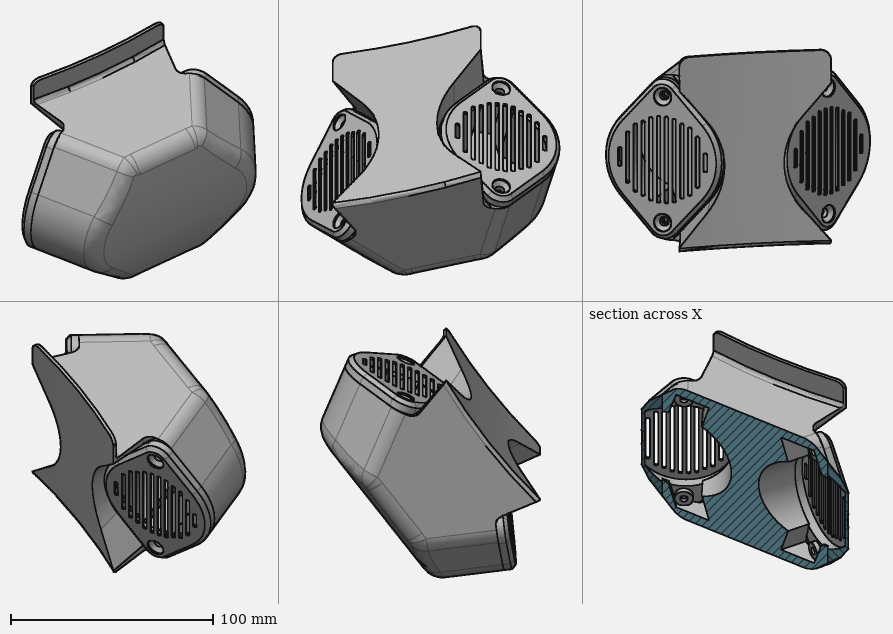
import cadquery as cq
import math

HALF_HEIGHT = 42.1
BACK_SAG = 2.4
BACK_HALF_WIDTH = 38.5
FRONT_X = 72.8
FRONT_RADIUS = 96.5
FRONT_FILLET = 9.9
BACK_EDGE_FILLET = 2.0
FAR = 160.9

FLANGE_TOP = 56.9
FLANGE_THICKNESS = 1.7
FLANGE_CORNER = 5.0
FLANGE_ROOT_FILLET = 2.0

LOBE_ANGLE = 30.0
FACE_X = 22.1
FACE_Y = 42.1
LOBE_RADIUS = 30.0
SCREW_OFFSET = 32.0
TIP_RADIUS = 8.6
LOBE_TIP_RADIUS = 9.9

GRILLE_THICKNESS = 6.0
GRILLE_CHAMFER = 2.1
GRILLE_WEB = 1.1
GRILLE_RECESS_DIAMETER = 52.0
SLOT_LENGTHS = (44.2, 42.6, 38.3, 34.9, 26.3, 9.7)
SLOT_PITCH = 4.0
SLOT_WIDTH = 2.0
SCREW_HOLE_DIAMETER = 4.5
SCREW_HEAD_DIAMETER = 9.0
SCREW_HEAD_RIM = 1.0

BORE_DIAMETER = 48.3
BORE_DEPTH = 39.5
POCKET_BASE_Z = 19.5
POCKET_TOP_Z = 36.2
POCKET_BASE_HALF_WIDTH = 8.5
POCKET_TOP_INNER = -12.7
POCKET_TOP_OUTER = 3.8
BOSS_DIAMETER = 9.1
BOSS_END = 8.7
PILOT_DIAMETER = 3.8

CLEARANCE_GAP = 0.5
CLEARANCE_SIDE = 7.0
CLEARANCE_TAPER = 16.0
CLEARANCE_REACH = 33.5
CLEARANCE_FILLET = 5.0

axis_angle = math.radians(LOBE_ANGLE)
INWARD = (math.cos(axis_angle), -math.sin(axis_angle), 0)
ACROSS = (math.sin(axis_angle), math.cos(axis_angle), 0)
flank_angle = math.asin((LOBE_RADIUS - TIP_RADIUS) / SCREW_OFFSET)
FLANK_COS = math.cos(flank_angle)
FLANK_SIN = math.sin(flank_angle)
LOBE_TIP_Z = HALF_HEIGHT - LOBE_TIP_RADIUS
LOBE_TIP_U = (LOBE_RADIUS - LOBE_TIP_RADIUS - LOBE_TIP_Z * FLANK_SIN) / FLANK_COS
BACK_RADIUS = (BACK_HALF_WIDTH**2 + BACK_SAG**2) / (2 * BACK_SAG)


def lobe_plane(depth):
    """Plane of the +Y lobe at a depth behind its grille face: local x outboard, local y up."""
    origin = (FACE_X + depth * INWARD[0], FACE_Y + depth * INWARD[1], 0)
    return cq.Workplane(cq.Plane(origin=origin, xDir=ACROSS, normal=INWARD))


def mirrored(body):
    """The matching body on the -Y side."""
    return body.mirror("XZ")


def lozenge(plane, inset=0.0):
    """Large circle drawn out to a round tip above and below."""
    big = LOBE_RADIUS - inset
    tip = TIP_RADIUS - inset
    big_x, big_z = big * FLANK_COS, big * FLANK_SIN
    tip_x, tip_z = tip * FLANK_COS, SCREW_OFFSET + tip * FLANK_SIN
    return (
        plane.moveTo(big_x, -big_z)
        .threePointArc((big, 0), (big_x, big_z))
        .lineTo(tip_x, tip_z)
        .threePointArc((0, SCREW_OFFSET + tip), (-tip_x, tip_z))
        .lineTo(-big_x, big_z)
        .threePointArc((-big, 0), (-big_x, -big_z))
        .lineTo(-tip_x, -tip_z)
        .threePointArc((0, -SCREW_OFFSET - tip), (tip_x, -tip_z))
        .close()
    )


def lobe_half():
    """Half of the housing on the +Y side, drawn along the lobe axis up to Y = 0."""
    big_x, big_z = LOBE_RADIUS * FLANK_COS, LOBE_RADIUS * FLANK_SIN
    tip_x = LOBE_TIP_U + LOBE_TIP_RADIUS * FLANK_COS
    tip_z = LOBE_TIP_Z + LOBE_TIP_RADIUS * FLANK_SIN
    bend = (math.pi / 2 + flank_angle) / 2
    bend_x = LOBE_TIP_U + LOBE_TIP_RADIUS * math.cos(bend)
    bend_z = LOBE_TIP_Z + LOBE_TIP_RADIUS * math.sin(bend)
    half = (
        lobe_plane(GRILLE_THICKNESS - CLEARANCE_REACH)
        .moveTo(big_x, -big_z)
        .threePointArc((LOBE_RADIUS, 0), (big_x, big_z))
        .lineTo(tip_x, tip_z)
        .threePointArc((bend_x, bend_z), (LOBE_TIP_U, HALF_HEIGHT))
        .lineTo(-FAR, HALF_HEIGHT)
        .lineTo(-FAR, -HALF_HEIGHT)
        .lineTo(LOBE_TIP_U, -HALF_HEIGHT)
        .threePointArc((bend_x, -bend_z), (tip_x, -tip_z))
        .close()
        .extrude(2 * FAR)
    )
    positive_side = cq.Workplane().box(2 * FAR, FAR, FAR, centered=(True, False, True))
    return half.intersect(positive_side)


def clearance_outline(plane, growth):
    """Inboard side of the lozenge, with everything outboard of it open."""
    big = LOBE_RADIUS + growth
    big_x, big_z = big * FLANK_COS, big * FLANK_SIN
    tip_x = CLEARANCE_SIDE + growth
    tip_z = (big - tip_x * FLANK_COS) / FLANK_SIN
    return (
        plane.moveTo(-big_x, -big_z)
        .threePointArc((-big, 0), (-big_x, big_z))
        .lineTo(-tip_x, tip_z)
        .lineTo(-tip_x, FAR / 2)
        .lineTo(FAR / 2, FAR / 2)
        .lineTo(FAR / 2, -FAR / 2)
        .lineTo(-tip_x, -FAR / 2)
        .lineTo(-tip_x, -tip_z)
        .close()
    )


def clearance():
    """Tapered space in front of the grille seat, widening outward."""
    outer_depth = GRILLE_THICKNESS - CLEARANCE_REACH
    end_growth = CLEARANCE_GAP + CLEARANCE_REACH * math.tan(math.radians(CLEARANCE_TAPER))
    seat = clearance_outline(lobe_plane(GRILLE_THICKNESS), CLEARANCE_GAP).val()
    outer = clearance_outline(lobe_plane(outer_depth), end_growth).val()
    space = cq.Workplane(cq.Solid.makeLoft([seat, outer], True))
    seat_side = lobe_plane(GRILLE_THICKNESS).center(-CLEARANCE_SIDE - CLEARANCE_GAP, 0).plane
    for end_z in (FLANGE_TOP, -FLANGE_TOP):
        corner = cq.NearestToPointSelector(seat_side.toWorldCoords((0, end_z, 0)))
        space = space.edges(corner).fillet(CLEARANCE_FILLET)
    return space


def back_cylinder(offset):
    """Upright cylinder that shapes the concave back, moved forward by an offset."""
    axis_x = BACK_SAG - BACK_RADIUS
    return (
        cq.Workplane("XY", origin=(axis_x, 0, -FAR / 2))
        .circle(BACK_RADIUS + offset)
        .extrude(FAR)
    )


def front_dome():
    """Cylinder along Y that limits the housing to its curved front."""
    return (
        cq.Workplane("XZ", origin=(FRONT_X - FRONT_RADIUS, FAR, 0))
        .circle(FRONT_RADIUS)
        .extrude(2 * FAR)
    )


def flange():
    """Plate standing above the housing along its back, front face curved like the back."""
    plate = (
        cq.Workplane("YZ", origin=(-FAR / 4, 0, 0))
        .center(0, FLANGE_TOP / 2)
        .rect(2 * BACK_HALF_WIDTH, FLANGE_TOP)
        .extrude(FAR / 2)
        .edges("|X and >Z")
        .fillet(FLANGE_CORNER)
    )
    return plate.intersect(back_cylinder(FLANGE_THICKNESS))


def cavity():
    """Bore behind the grille, with a pocket at each tip and the screw pilot holes."""
    bore_length = BORE_DEPTH - GRILLE_THICKNESS
    space = lobe_plane(GRILLE_THICKNESS).circle(BORE_DIAMETER / 2).extrude(bore_length)
    boss_length = BOSS_END - GRILLE_THICKNESS
    for side in (1, -1):
        pocket = (
            lobe_plane(GRILLE_THICKNESS)
            .polyline([
                (-POCKET_BASE_HALF_WIDTH, side * POCKET_BASE_Z),
                (POCKET_TOP_INNER, side * POCKET_TOP_Z),
                (POCKET_TOP_OUTER, side * POCKET_TOP_Z),
                (POCKET_BASE_HALF_WIDTH, side * POCKET_BASE_Z),
            ])
            .close()
            .extrude(bore_length)
        )
        screw_plane = lobe_plane(GRILLE_THICKNESS).center(0, side * SCREW_OFFSET)
        boss = screw_plane.circle(BOSS_DIAMETER / 2).extrude(boss_length)
        pilot = screw_plane.circle(PILOT_DIAMETER / 2).extrude(boss_length)
        space = space.union(pocket.cut(boss)).union(pilot)
    return space


def make_housing():
    """Two mirrored lobes with a domed front, hollow back, flange and grille seats."""
    half = lobe_half()
    body = half.union(mirrored(half)).clean().intersect(front_dome())
    body = body.faces(">X").edges().fillet(FRONT_FILLET)

    body = body.union(flange())
    flange_root = (BACK_SAG + FLANGE_THICKNESS, 0, HALF_HEIGHT)
    body = body.edges(cq.NearestToPointSelector(flange_root)).fillet(FLANGE_ROOT_FILLET)

    body = body.cut(back_cylinder(0))
    lower_back = (BACK_SAG, 0, -HALF_HEIGHT)
    body = body.edges(cq.NearestToPointSelector(lower_back)).fillet(BACK_EDGE_FILLET)

    for tool in (clearance(), cavity()):
        body = body.cut(tool).cut(mirrored(tool))
    return body


def screw_hole():
    """Countersunk through hole along +Z, starting at the grille face."""
    head = SCREW_HEAD_DIAMETER / 2
    hole = SCREW_HOLE_DIAMETER / 2
    cone_end = SCREW_HEAD_RIM + head - hole
    return (
        cq.Workplane("XZ")
        .polyline([
            (0, 0),
            (head, 0),
            (head, SCREW_HEAD_RIM),
            (hole, cone_end),
            (hole, GRILLE_THICKNESS),
            (0, GRILLE_THICKNESS),
        ])
        .close()
        .revolve(360, (0, 0, 0), (0, 1, 0))
    )


def make_grille():
    """Chamfered lozenge plate on the +Y lobe with a slotted web and countersunk holes."""
    front = lozenge(lobe_plane(0), GRILLE_CHAMFER).val()
    rim = lozenge(lobe_plane(GRILLE_CHAMFER)).val()
    plate = lozenge(lobe_plane(GRILLE_CHAMFER)).extrude(GRILLE_THICKNESS - GRILLE_CHAMFER)
    plate = plate.union(cq.Workplane(cq.Solid.makeLoft([front, rim], True)))
    recess = (
        lobe_plane(GRILLE_WEB)
        .circle(GRILLE_RECESS_DIAMETER / 2)
        .extrude(GRILLE_THICKNESS - GRILLE_WEB)
    )
    plate = plate.cut(recess)
    for index, length in enumerate(SLOT_LENGTHS):
        for side in (1, -1):
            slot = (
                lobe_plane(0)
                .center(side * (index + 0.5) * SLOT_PITCH, 0)
                .slot2D(length, SLOT_WIDTH, 90)
                .extrude(GRILLE_WEB)
            )
            plate = plate.cut(slot)
    for side in (1, -1):
        place = lobe_plane(0).center(0, side * SCREW_OFFSET).plane.location
        plate = plate.cut(screw_hole().val().moved(place))
    return plate


housing = make_housing()
grille = make_grille()
grilles = [grille, mirrored(grille)]

result = cq.Compound.makeCompound([housing.val(), *(body.val() for body in grilles)])